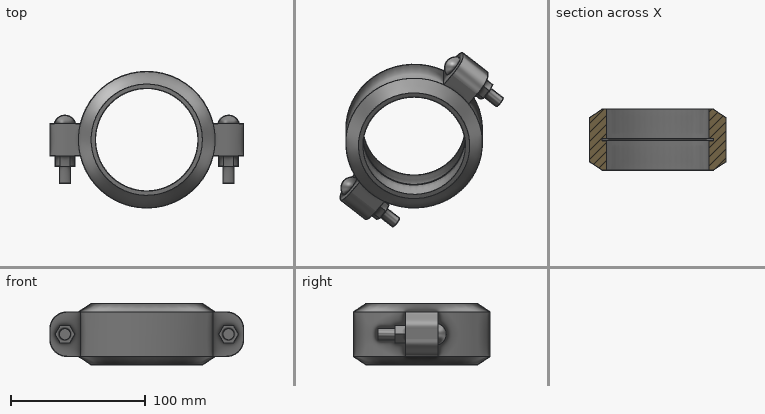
import cadquery as cq

ring_height = 45.7
ring_radius = 50.79
rim_radius = 41.4
bore_radius = 38.0
band_height = 33.1

groove_width = 1.5
groove_radius = rim_radius

overall_length = 144.1
lug_depth = 23.9
lug_corner_radius = 12.8

bolt_offset = 60.8
bolt_radius = 4.2
bolt_reach = 20.5
nut_corner_diameter = 14.7
nut_thickness = 7.8
head_radius = 7.9
head_height = 6.27


def make_disc(radius, height):
    """Disc centred on the origin, axis along Z."""
    return cq.Workplane("XY").circle(radius).extrude(height / 2, both=True)


def make_ring_body():
    """Solid body of revolution: straight band with a cone above and below."""
    half_height = ring_height / 2
    half_band = band_height / 2
    profile = [
        (0, -half_height),
        (rim_radius, -half_height),
        (ring_radius, -half_band),
        (ring_radius, half_band),
        (rim_radius, half_height),
        (0, half_height),
    ]
    return cq.Workplane("XZ").polyline(profile).close().revolve(360, (0, 0), (0, 1))


def make_lugs():
    """One rounded bar across the ring, forming both lugs."""
    bar = cq.Workplane("XY").box(overall_length, lug_depth, band_height)
    return bar.edges("|Y").fillet(lug_corner_radius)


def make_bolt(x):
    """Domed head behind the lug, nut and bolt end in front of it."""
    front = cq.Workplane("XZ", origin=(x, -lug_depth / 2, 0))
    nut = front.polygon(6, nut_corner_diameter).extrude(nut_thickness)
    shank = front.circle(bolt_radius).extrude(bolt_reach)

    dome_radius = (head_radius**2 + head_height**2) / (2 * head_height)
    dome_centre_y = lug_depth / 2 + head_height - dome_radius
    dome = cq.Workplane("XY").sphere(dome_radius).translate((x, dome_centre_y, 0))
    head_envelope = (
        cq.Workplane("XZ", origin=(x, lug_depth / 2, 0))
        .circle(2 * head_radius)
        .extrude(-2 * head_height)
    )
    return nut.union(shank).union(dome.intersect(head_envelope))


result = make_ring_body().union(make_lugs())
result = result.cut(make_disc(bore_radius, ring_height))
result = result.cut(make_disc(groove_radius, groove_width))
for side in (-1, 1):
    result = result.union(make_bolt(side * bolt_offset))